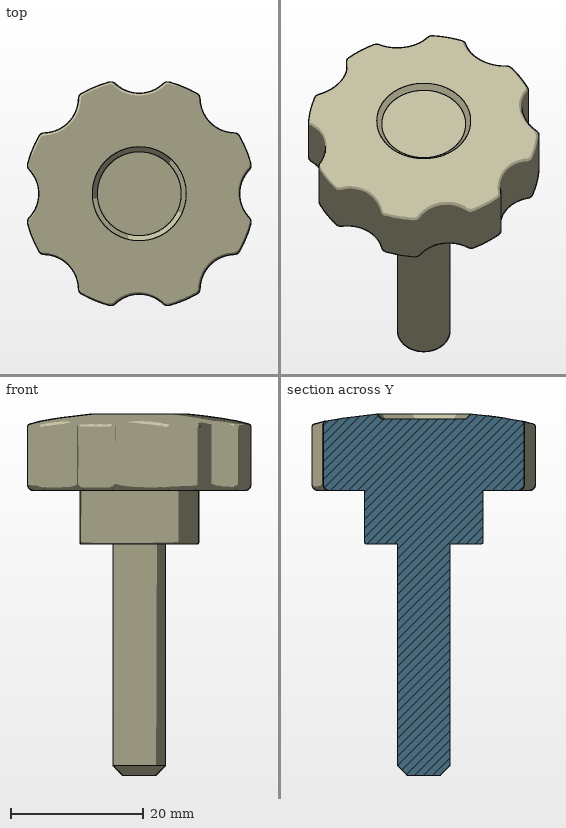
import cadquery as cq
import math

total_height = 54.65
head_bottom = 43.1
hub_bottom = 35.0

head_radius = 17.5
lobe_count = 8
notch_radius = 5.25
notch_floor_radius = 15.2
corner_fillet = 1.0
top_edge_fillet = 0.5
bottom_edge_fillet = 0.95
dome_radius = 79.8
dome_allowance = 0.55

recess_rim_radius = 7.1
recess_floor_radius = 6.35
recess_depth = 0.75

hub_diameter = 18.0
hub_fillet = 0.3
stud_diameter = 8.0
tip_diameter = 5.05
tip_length = 1.55


def lobed_prism():
    """Round blank with evenly spaced finger notches and softened lobe corners."""
    height = total_height - head_bottom + dome_allowance
    blank = cq.Workplane("XY").workplane(offset=head_bottom).circle(head_radius).extrude(height)
    notches = (
        cq.Workplane("XY")
        .workplane(offset=head_bottom)
        .polarArray(notch_floor_radius + notch_radius, 0, 360, lobe_count)
        .circle(notch_radius)
        .extrude(height)
    )
    return blank.cut(notches).edges("|Z").fillet(corner_fillet)


def dome_ball():
    """Ball whose surface passes through the recess rim at full height."""
    centre_height = total_height - math.sqrt(dome_radius**2 - recess_rim_radius**2)
    return cq.Workplane("XY").sphere(dome_radius).translate((0, 0, centre_height))


def recess_cutter():
    """Conical recess, continued upward as a cylinder to clear the dome cap."""
    floor = total_height - recess_depth
    clearance = 1.1
    return (
        cq.Workplane("XZ")
        .moveTo(0, floor)
        .lineTo(recess_floor_radius, floor)
        .lineTo(recess_rim_radius, total_height)
        .lineTo(recess_rim_radius, total_height + clearance)
        .lineTo(0, total_height + clearance)
        .close()
        .revolve(360, (0, 0, 0), (0, 1, 0))
    )


def head():
    body = lobed_prism().intersect(dome_ball())
    body = body.faces(">Z").edges().fillet(top_edge_fillet)
    body = body.faces("<Z").edges().fillet(bottom_edge_fillet)
    return body.cut(recess_cutter())


def hub():
    height = head_bottom - hub_bottom
    return (
        cq.Workplane("XY")
        .workplane(offset=hub_bottom)
        .circle(hub_diameter / 2)
        .extrude(height)
        .faces("<Z")
        .edges()
        .fillet(hub_fillet)
    )


def stud():
    tip_step = (stud_diameter - tip_diameter) / 2
    return (
        cq.Workplane("XY")
        .circle(stud_diameter / 2)
        .extrude(hub_bottom)
        .faces("<Z")
        .edges()
        .chamfer(tip_length, tip_step)
    )


result = head().union(hub()).union(stud())